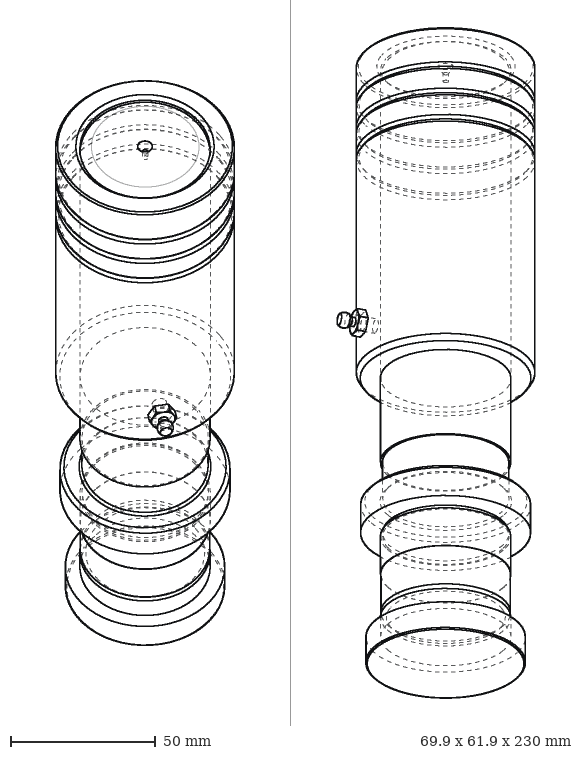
import cadquery as cq
import math

TOTAL_HEIGHT = 230.0
CAP_FLANGE_TOP = 10.4
POST_BOTTOM = 18.0
LOWER_RELIEF_TOP = 34.5
COLLAR_BOTTOM = 50.4
COLLAR_TOP = 62.5
NECK_TOP = 77.5
SLEEVE_BOTTOM = 110.0
NIPPLE_HEIGHT = 125.1

POST_RADIUS = 22.5
POST_TOP_ROUND = 4.0
NECK_RADIUS = 21.8
NECK_FOOT_FLARE = 1.0
COLLAR_RADIUS = 29.5
COLLAR_CHAMFER = 1.4
UNDERCUT_WIDTH = 1.4
LOWER_RELIEF = 0.12
POST_BOTTOM_CHAMFER = 1.8
CENTRE_HOLE_RADIUS = 1.0
CENTRE_HOLE_DEPTH = 5.8
CENTRE_CONE_RADIUS = 2.5
CENTRE_CONE_ANGLE = 60.0

CAP_RADIUS = 27.5
CAP_BOTTOM_CHAMFER = 0.5

SLEEVE_DIAMETER = 61.9
SLEEVE_RADIUS = SLEEVE_DIAMETER / 2
SLEEVE_TOP_CHAMFER = 0.7
SLEEVE_BOTTOM_CHAMFER_HEIGHT = 2.0
SLEEVE_BOTTOM_CHAMFER_DEPTH = 1.4
BORE_CHAMFER = 1.4
GROOVE_COUNT = 3
GROOVE_WIDTH = 2.5
GROOVE_DEPTH = 1.0
GROOVE_PITCH = 10.1
FIRST_GROOVE_BELOW_TOP = 14.7

NIPPLE_ANGLE = -15.0
STEM_RADIUS = 2.5
STEM_LENGTH = 4.5
HEX_ACROSS_FLATS = 8.3
HEX_OUTER_FACE = 34.3
HEX_CHAMFER_ANGLE = 30.0
NIPPLE_NECK_RADIUS = 1.5
NIPPLE_NECK_END = 35.6
NIPPLE_HEAD_RADIUS = 2.8
NIPPLE_HEAD_EDGE_RADIUS = 2.5
NIPPLE_HEAD_START = 36.8
NIPPLE_HEAD_CROWN = 37.7
NIPPLE_TIP_RADIUS = 2.0
NIPPLE_TIP = 39.8


def turned(outline):
    """Revolve a closed (radius, height) Workplane outline about the Z axis."""
    return outline.close().revolve(360, (0, 0, 0), (0, 1, 0))


def along_nipple_axis(distance):
    """Plane square to the nipple axis, with its local x vertical."""
    return cq.Workplane(cq.Plane((distance, 0, NIPPLE_HEIGHT), (0, 0, 1), (1, 0, 0)))


def turn_to_nipple_angle(body):
    return body.rotate((0, 0, 0), (0, 0, 1), NIPPLE_ANGLE)


def centre_hole():
    """Pilot drilling with a conical countersink in the top of the post."""
    half_angle = math.radians(CENTRE_CONE_ANGLE / 2)
    cone_depth = (CENTRE_CONE_RADIUS - CENTRE_HOLE_RADIUS) / math.tan(half_angle)
    outline = cq.Workplane("XZ").polyline([
        (0, TOTAL_HEIGHT),
        (CENTRE_CONE_RADIUS, TOTAL_HEIGHT),
        (CENTRE_HOLE_RADIUS, TOTAL_HEIGHT - cone_depth),
        (CENTRE_HOLE_RADIUS, TOTAL_HEIGHT - CENTRE_HOLE_DEPTH),
        (0, TOTAL_HEIGHT - CENTRE_HOLE_DEPTH),
    ])
    return turned(outline)


def make_post():
    """Guide post with an integral collar, a neck above it and an undercut below it."""
    relief_radius = POST_RADIUS - LOWER_RELIEF
    undercut_bottom = COLLAR_BOTTOM - UNDERCUT_WIDTH
    outline = (
        cq.Workplane("XZ")
        .moveTo(0, POST_BOTTOM)
        .lineTo(relief_radius - POST_BOTTOM_CHAMFER, POST_BOTTOM)
        .lineTo(relief_radius, POST_BOTTOM + POST_BOTTOM_CHAMFER)
        .lineTo(relief_radius, LOWER_RELIEF_TOP)
        .lineTo(POST_RADIUS, LOWER_RELIEF_TOP)
        .lineTo(POST_RADIUS, undercut_bottom)
        .lineTo(NECK_RADIUS, undercut_bottom)
        .lineTo(NECK_RADIUS, COLLAR_BOTTOM)
        .lineTo(COLLAR_RADIUS, COLLAR_BOTTOM)
        .lineTo(COLLAR_RADIUS, COLLAR_TOP - COLLAR_CHAMFER)
        .lineTo(COLLAR_RADIUS - COLLAR_CHAMFER, COLLAR_TOP)
        .lineTo(NECK_RADIUS + NECK_FOOT_FLARE, COLLAR_TOP)
        .lineTo(NECK_RADIUS, COLLAR_TOP + NECK_FOOT_FLARE)
        .lineTo(NECK_RADIUS, NECK_TOP)
        .lineTo(POST_RADIUS, NECK_TOP)
        .lineTo(POST_RADIUS, TOTAL_HEIGHT - POST_TOP_ROUND)
        .radiusArc((POST_RADIUS - POST_TOP_ROUND, TOTAL_HEIGHT), -POST_TOP_ROUND)
        .lineTo(0, TOTAL_HEIGHT)
    )
    return turned(outline).cut(centre_hole())


def make_cap():
    """Flanged retaining cap whose spigot butts against the lower end of the post."""
    outline = cq.Workplane("XZ").polyline([
        (0, 0),
        (CAP_RADIUS - CAP_BOTTOM_CHAMFER, 0),
        (CAP_RADIUS, CAP_BOTTOM_CHAMFER),
        (CAP_RADIUS, CAP_FLANGE_TOP),
        (POST_RADIUS, CAP_FLANGE_TOP),
        (POST_RADIUS, POST_BOTTOM),
        (0, POST_BOTTOM),
    ])
    return turned(outline)


def ring_groove(height):
    """V-shaped ring cut round the outside of the sleeve, centred at a height."""
    outline = cq.Workplane("XZ").polyline([
        (SLEEVE_RADIUS, height - GROOVE_WIDTH / 2),
        (SLEEVE_RADIUS - GROOVE_DEPTH, height),
        (SLEEVE_RADIUS, height + GROOVE_WIDTH / 2),
    ])
    return turned(outline)


def nipple_stem():
    """Shank of the nipple, which also shapes its hole in the sleeve wall."""
    return along_nipple_axis(SLEEVE_RADIUS - STEM_LENGTH).circle(STEM_RADIUS).extrude(STEM_LENGTH)


def make_sleeve():
    """Sleeve bored to fit the post, with outer ring grooves near its top."""
    outline = cq.Workplane("XZ").polyline([
        (POST_RADIUS, SLEEVE_BOTTOM),
        (SLEEVE_RADIUS - SLEEVE_BOTTOM_CHAMFER_DEPTH, SLEEVE_BOTTOM),
        (SLEEVE_RADIUS, SLEEVE_BOTTOM + SLEEVE_BOTTOM_CHAMFER_HEIGHT),
        (SLEEVE_RADIUS, TOTAL_HEIGHT - SLEEVE_TOP_CHAMFER),
        (SLEEVE_RADIUS - SLEEVE_TOP_CHAMFER, TOTAL_HEIGHT),
        (POST_RADIUS + BORE_CHAMFER, TOTAL_HEIGHT),
        (POST_RADIUS, TOTAL_HEIGHT - BORE_CHAMFER),
    ])
    body = turned(outline)
    for index in range(GROOVE_COUNT):
        below_top = FIRST_GROOVE_BELOW_TOP + index * GROOVE_PITCH
        body = body.cut(ring_groove(TOTAL_HEIGHT - below_top))
    return turn_to_nipple_angle(body.cut(nipple_stem()))


def nipple_hex():
    """Hexagon seated on the sleeve, flats up and down, outer corners chamfered to a cone."""
    corner_radius = HEX_ACROSS_FLATS / math.sqrt(3)
    flat_radius = HEX_ACROSS_FLATS / 2
    length = HEX_OUTER_FACE - SLEEVE_RADIUS
    chamfer_height = (corner_radius - flat_radius) * math.tan(math.radians(HEX_CHAMFER_ANGLE))
    prism = (
        along_nipple_axis(SLEEVE_RADIUS)
        .transformed(rotate=(0, 0, 30))
        .polygon(6, 2 * corner_radius)
        .extrude(length)
    )
    envelope = (
        along_nipple_axis(SLEEVE_RADIUS)
        .circle(corner_radius)
        .extrude(length)
        .faces(">X")
        .chamfer(chamfer_height, corner_radius - flat_radius)
    )
    return prism.intersect(envelope)


def nipple_head():
    """Round neck and domed coupling head beyond the hexagon."""
    outline = (
        cq.Workplane("XZ", origin=(0, 0, NIPPLE_HEIGHT))
        .moveTo(HEX_OUTER_FACE, 0)
        .lineTo(HEX_OUTER_FACE, NIPPLE_NECK_RADIUS)
        .lineTo(NIPPLE_NECK_END, NIPPLE_NECK_RADIUS)
        .lineTo(NIPPLE_HEAD_START, NIPPLE_HEAD_EDGE_RADIUS)
        .threePointArc((NIPPLE_HEAD_CROWN, NIPPLE_HEAD_RADIUS), (NIPPLE_TIP, NIPPLE_TIP_RADIUS))
        .lineTo(NIPPLE_TIP, 0)
        .close()
    )
    return outline.revolve(360, (0, 0, 0), (1, 0, 0))


def make_nipple():
    body = nipple_stem().union(nipple_hex()).union(nipple_head())
    return turn_to_nipple_angle(body)


post = make_post()
cap = make_cap()
sleeve = make_sleeve()
nipple = make_nipple()

result = cq.Compound.makeCompound([post.val(), cap.val(), sleeve.val(), nipple.val()])